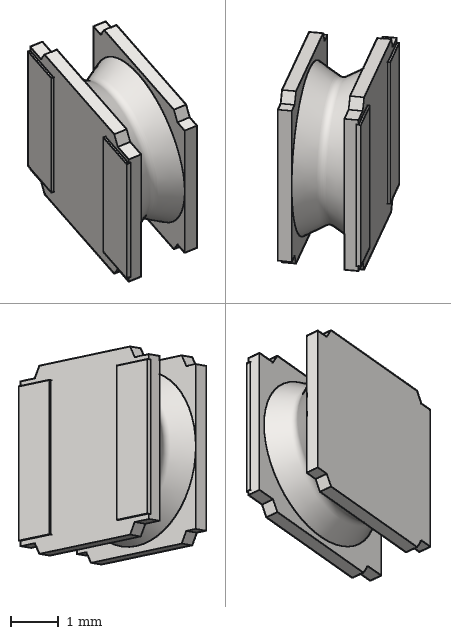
import math

import cadquery as cq

height = 4.0
front_width = 4.0
back_width = 3.7
depth = 1.8

flange_thickness = 0.3
notch_depth = 0.25
notch_shoulder_x = 1.555
notch_slope_angle = math.radians(60)

cone_radius = back_width / 2
cone_angle = math.radians(30)
waist_fillet_radius = 0.2

terminal_thickness = 0.1
terminal_width = 0.95
terminal_height = 3.28
terminal_recess = terminal_thickness / 2

front_y = -depth / 2
front_flange_y = front_y + terminal_thickness - terminal_recess
groove_start_y = front_flange_y + flange_thickness
back_flange_y = depth / 2 - flange_thickness


def make_flange(width, start_y):
    """Plate with notched corners, its front face at start_y."""
    half_width = width / 2
    half_height = height / 2
    shoulder_z = half_height - notch_depth
    notch_top_x = notch_shoulder_x - notch_depth / math.tan(notch_slope_angle)
    upper_corner = [
        (half_width, shoulder_z),
        (notch_shoulder_x, shoulder_z),
        (notch_top_x, half_height),
    ]
    lower_corner = [(x, -z) for x, z in reversed(upper_corner)]
    right_side = lower_corner + upper_corner
    left_side = [(-x, z) for x, z in reversed(right_side)]
    return (
        cq.Workplane("XZ", origin=(0, start_y, 0))
        .polyline(right_side + left_side)
        .close()
        .extrude(-flange_thickness)
    )


def make_spool():
    """Two cones narrowing to a rounded waist, revolved about Y."""
    middle_y = (groove_start_y + back_flange_y) / 2
    half_length = (back_flange_y - groove_start_y) / 2
    arc_half_length = waist_fillet_radius * math.sin(cone_angle)
    arc_end_radius = cone_radius - (half_length - arc_half_length) * math.tan(cone_angle)
    waist_radius = arc_end_radius - waist_fillet_radius * (1 - math.cos(cone_angle))
    return (
        cq.Workplane("XY")
        .moveTo(0, groove_start_y)
        .lineTo(cone_radius, groove_start_y)
        .lineTo(arc_end_radius, middle_y - arc_half_length)
        .threePointArc((waist_radius, middle_y), (arc_end_radius, middle_y + arc_half_length))
        .lineTo(cone_radius, back_flange_y)
        .lineTo(0, back_flange_y)
        .close()
        .revolve(360, (0, 0, 0), (0, 1, 0))
    )


def make_terminal(side):
    """Flat contact strip flush with one side of the front flange (side is -1 or 1)."""
    center_x = side * (front_width - terminal_width) / 2
    center_y = front_y + terminal_thickness / 2
    return (
        cq.Workplane("XY")
        .box(terminal_width, terminal_thickness, terminal_height)
        .translate((center_x, center_y, 0))
    )


def make_core(terminals):
    """One-piece core: two flanges and a spool, with a recess for each terminal."""
    core = make_flange(front_width, front_flange_y)
    core = core.union(make_spool())
    core = core.union(make_flange(back_width, back_flange_y))
    for terminal in terminals:
        core = core.cut(terminal)
    return core


terminals = [make_terminal(side) for side in (-1, 1)]
core = make_core(terminals)

result = cq.Compound.makeCompound([core.val(), *[terminal.val() for terminal in terminals]])